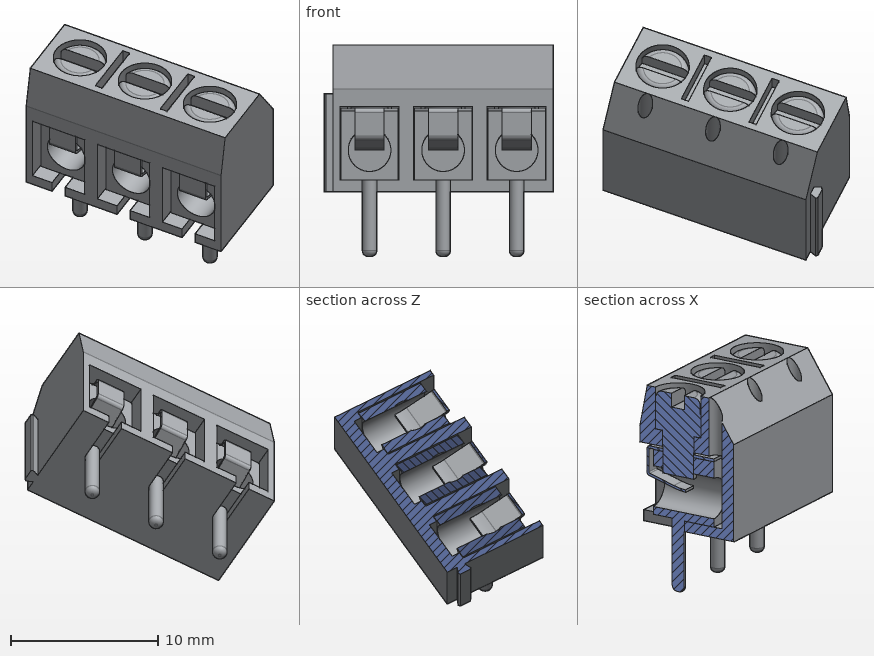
import cadquery as cq
import math


POLE_COUNT = 3
HOUSING_LENGTH = 15.0
PITCH = HOUSING_LENGTH / POLE_COUNT
POLE_XS = [(pole - (POLE_COUNT - 1) / 2) * PITCH for pole in range(POLE_COUNT)]
DIVIDER_XS = [(left + right) / 2 for left, right in zip(POLE_XS, POLE_XS[1:])]
SCREW_Y = 3.1

OVERALL_LENGTH = 15.6
HOUSING_DEPTH = 7.6
HOUSING_HEIGHT = 10.0
SHOULDER_Z = 7.0
FRONT_SLOPE_RUN = 0.6
REAR_SLOPE_RUN = 2.0
FLOOR_THICKNESS = 0.8

RAIL_REACH = OVERALL_LENGTH - HOUSING_LENGTH
RAIL_HEIGHT = 6.7
RAIL_Y = 6.5
RAIL_FULL_WIDTH = 1.0
RAIL_TIP_WIDTH = 0.8
RAIL_ROOT_WIDTH = 0.62
RAIL_TIP_CHAMFER_RUN = 0.12

CHAMBER_WIDTH = 4.02
CHAMBER_TOP_Z = 5.8
CLAMP_FRONT_Y = 1.1
CLAMP_REAR_Y = 6.0
REAR_RECESS_WIDTH = 3.0
TEST_HOLE_DIAMETER = 1.0
TEST_HOLE_Y = 6.1
REAR_RECESS_END_Y = TEST_HOLE_Y + TEST_HOLE_DIAMETER / 2

GROOVE_WIDTH = 0.53
GROOVE_LENGTH = 4.0
GROOVE_DEPTH = 1.0
GROOVE_FRONT_Y = 1.1

HEAD_DIAMETER = 3.6
HEAD_BORE_DIAMETER = 3.63
HEAD_FLAT_DIAMETER = 2.6
HEAD_RECESS = 0.2
HEAD_SEAT_Z = SHOULDER_Z
SHANK_DIAMETER = 2.5
SHANK_END_Z = 3.9
DRIVE_SLOT_WIDTH = 1.0
DRIVE_SLOT_DEPTH = 1.0

CLAMP_WIDTH = 3.9
CLAMP_TOP_Z = 5.49
WIRE_BORE_DIAMETER = 2.9
WIRE_BORE_Z = 2.84
PIN_DIAMETER = 1.0
PIN_TIP_Z = -4.4
PIN_TIP_RADIUS = 0.4

LEAF_THICKNESS = 0.2
LEAF_WIDTH = 2.0
LEAF_FRONT_Y = 0.56
LEAF_BEND_RADIUS = 0.3
LEAF_LOWER_BEND_Z = 3.8
LEAF_SHOULDER_RUN = 0.5
LEAF_FOOT_ANGLE = 15
LEAF_TIP_ANGLE = 3
LEAF_FOOT_BOTTOM_Z = 2.84
LEAF_FOOT_RADIUS = 4.68


def box(x_size, y_range, z_range):
    """Box centred on X = 0 that spans the given Y and Z ranges."""
    y_low, y_high = y_range
    z_low, z_high = z_range
    block = cq.Workplane("XY").box(x_size, y_high - y_low, z_high - z_low, centered=(True, False, False))
    return block.translate((0, y_low, z_low))


def cylinder(diameter, y, z_range):
    """Vertical cylinder on X = 0."""
    z_low, z_high = z_range
    return cq.Workplane("XY").circle(diameter / 2).extrude(z_high - z_low).translate((0, y, z_low))



def housing_block():
    outline = [
        (0, 0),
        (HOUSING_DEPTH, 0),
        (HOUSING_DEPTH, SHOULDER_Z),
        (HOUSING_DEPTH - REAR_SLOPE_RUN, HOUSING_HEIGHT),
        (FRONT_SLOPE_RUN, HOUSING_HEIGHT),
        (0, SHOULDER_Z),
    ]
    return cq.Workplane("YZ").polyline(outline).close().extrude(HOUSING_LENGTH / 2, both=True)


def dovetail_rail():
    root_x = -HOUSING_LENGTH / 2
    tip_x = root_x - RAIL_REACH
    flare_x = tip_x + RAIL_TIP_CHAMFER_RUN
    outline = [
        (root_x, RAIL_Y - RAIL_ROOT_WIDTH / 2),
        (flare_x, RAIL_Y - RAIL_FULL_WIDTH / 2),
        (tip_x, RAIL_Y - RAIL_TIP_WIDTH / 2),
        (tip_x, RAIL_Y + RAIL_TIP_WIDTH / 2),
        (flare_x, RAIL_Y + RAIL_FULL_WIDTH / 2),
        (root_x, RAIL_Y + RAIL_ROOT_WIDTH / 2),
    ]
    return cq.Workplane("XY").polyline(outline).close().extrude(RAIL_HEIGHT)


def pole_cavity():
    """All the space that one pole takes out of the housing."""
    chamber_z = (FLOOR_THICKNESS, CHAMBER_TOP_Z)
    chamber = box(CHAMBER_WIDTH, (0, CLAMP_REAR_Y), chamber_z)
    rear_recess = box(REAR_RECESS_WIDTH, (CLAMP_REAR_Y, REAR_RECESS_END_Y), chamber_z)
    test_hole = cylinder(TEST_HOLE_DIAMETER, TEST_HOLE_Y, (FLOOR_THICKNESS, HOUSING_HEIGHT))
    head_bore = cylinder(HEAD_BORE_DIAMETER, SCREW_Y, (HEAD_SEAT_Z, HOUSING_HEIGHT))
    shank_hole = cylinder(SHANK_DIAMETER, SCREW_Y, (CHAMBER_TOP_Z, HEAD_SEAT_Z))
    pin_hole = cylinder(PIN_DIAMETER, SCREW_Y, (0, FLOOR_THICKNESS))
    pin_slot = box(PIN_DIAMETER, (0, SCREW_Y), (0, FLOOR_THICKNESS))
    cavity = chamber
    for space in (rear_recess, test_hole, head_bore, shank_hole, pin_hole, pin_slot):
        cavity = cavity.union(space)
    return cavity


def divider_groove():
    groove_y = (GROOVE_FRONT_Y, GROOVE_FRONT_Y + GROOVE_LENGTH)
    return box(GROOVE_WIDTH, groove_y, (HOUSING_HEIGHT - GROOVE_DEPTH, HOUSING_HEIGHT))


def make_housing():
    housing = housing_block().union(dovetail_rail())
    for x in POLE_XS:
        housing = housing.cut(pole_cavity().translate((x, 0, 0)))
    for x in DIVIDER_XS:
        housing = housing.cut(divider_groove().translate((x, 0, 0)))
    return housing



def make_screw():
    head_top_z = HOUSING_HEIGHT - HEAD_RECESS
    edge_radius = (HEAD_DIAMETER - HEAD_FLAT_DIAMETER) / 2
    head = cylinder(HEAD_DIAMETER, SCREW_Y, (HEAD_SEAT_Z, head_top_z))
    head = head.faces(">Z").edges().fillet(edge_radius)
    shank = cylinder(SHANK_DIAMETER, SCREW_Y, (SHANK_END_Z, HEAD_SEAT_Z))
    slot_y = (SCREW_Y - DRIVE_SLOT_WIDTH / 2, SCREW_Y + DRIVE_SLOT_WIDTH / 2)
    drive_slot = box(HEAD_DIAMETER, slot_y, (head_top_z - DRIVE_SLOT_DEPTH, head_top_z))
    return head.union(shank).cut(drive_slot)



def make_clamp():
    body = box(CLAMP_WIDTH, (CLAMP_FRONT_Y, CLAMP_REAR_Y), (FLOOR_THICKNESS, CLAMP_TOP_Z))
    pin = cylinder(PIN_DIAMETER, SCREW_Y, (PIN_TIP_Z, FLOOR_THICKNESS))
    pin = pin.faces("<Z").edges().fillet(PIN_TIP_RADIUS)
    wire_bore = (
        cq.Workplane("XZ")
        .center(0, WIRE_BORE_Z)
        .circle(WIRE_BORE_DIAMETER / 2)
        .extrude(-HOUSING_DEPTH)
    )
    screw_hole = cylinder(SHANK_DIAMETER, SCREW_Y, (WIRE_BORE_Z, CLAMP_TOP_Z))
    return body.union(pin).cut(wire_bore).cut(screw_hole)



def arc_points(center, radius, start_angle, end_angle):
    """Start, middle and end of an arc in the YZ plane, with angles in degrees from +Y."""
    angles = [math.radians(a) for a in (start_angle, (start_angle + end_angle) / 2, end_angle)]
    return [(center[0] + radius * math.cos(a), center[1] + radius * math.sin(a)) for a in angles]


def leaf_bends(inset):
    """The three bends of the leaf, on the surface that lies inset from its outer surface.

    All bends turn the same way, so both surfaces share the bend centres.
    """
    bend_y = LEAF_FRONT_Y + LEAF_BEND_RADIUS
    upper_center = (bend_y, CLAMP_TOP_Z + LEAF_THICKNESS - LEAF_BEND_RADIUS)
    lower_center = (bend_y, LEAF_LOWER_BEND_Z)

    slope = math.radians(LEAF_FOOT_ANGLE)
    foot_center_z = LEAF_FOOT_BOTTOM_Z + LEAF_FOOT_RADIUS
    radius_gain = LEAF_FOOT_RADIUS - LEAF_BEND_RADIUS
    center_rise = foot_center_z - LEAF_LOWER_BEND_Z
    slope_length = (radius_gain * math.cos(slope) - center_rise) / math.sin(slope)
    foot_center_y = bend_y + slope_length * math.cos(slope) + radius_gain * math.sin(slope)

    slope_angle = 270 - LEAF_FOOT_ANGLE
    return (
        arc_points(upper_center, LEAF_BEND_RADIUS - inset, 90, 180),
        arc_points(lower_center, LEAF_BEND_RADIUS - inset, 180, slope_angle),
        arc_points((foot_center_y, foot_center_z), LEAF_FOOT_RADIUS - inset, slope_angle, 270 - LEAF_TIP_ANGLE),
    )


def leaf_strip():
    """Strip over the clamp top, down in front of it and back into the wire bore."""
    profile = cq.Workplane("YZ").moveTo(CLAMP_REAR_Y, CLAMP_TOP_Z + LEAF_THICKNESS)
    for start, middle, end in leaf_bends(0):
        profile = profile.lineTo(*start).threePointArc(middle, end)
    for start, middle, end in reversed(leaf_bends(LEAF_THICKNESS)):
        profile = profile.lineTo(*end).threePointArc(middle, start)
    return profile.lineTo(CLAMP_REAR_Y, CLAMP_TOP_Z).close().extrude(LEAF_WIDTH / 2, both=True)


def leaf_plate():
    """Wide part of the leaf on the clamp top, with tapered shoulders and the screw hole."""
    shoulder_y = CLAMP_FRONT_Y + LEAF_SHOULDER_RUN
    outline = [
        (-LEAF_WIDTH / 2, CLAMP_FRONT_Y),
        (LEAF_WIDTH / 2, CLAMP_FRONT_Y),
        (CLAMP_WIDTH / 2, shoulder_y),
        (CLAMP_WIDTH / 2, CLAMP_REAR_Y),
        (-CLAMP_WIDTH / 2, CLAMP_REAR_Y),
        (-CLAMP_WIDTH / 2, shoulder_y),
    ]
    return cq.Workplane("XY").polyline(outline).close().extrude(LEAF_THICKNESS).translate((0, 0, CLAMP_TOP_Z))


def make_leaf():
    screw_hole = cylinder(SHANK_DIAMETER, SCREW_Y, (CLAMP_TOP_Z, CHAMBER_TOP_Z))
    return leaf_strip().union(leaf_plate()).cut(screw_hole)



housing = make_housing()
screws = [make_screw().translate((x, 0, 0)).val() for x in POLE_XS]
clamps = [make_clamp().translate((x, 0, 0)).val() for x in POLE_XS]
leaves = [make_leaf().translate((x, 0, 0)).val() for x in POLE_XS]

result = cq.Compound.makeCompound([housing.val(), *screws, *clamps, *leaves])